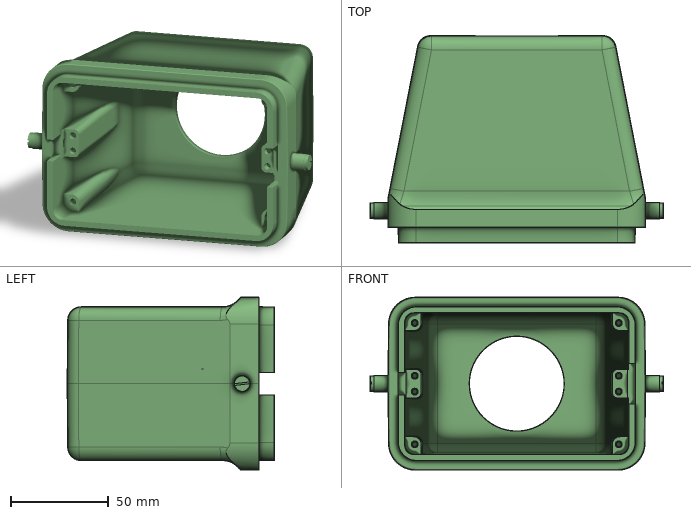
import cadquery as cq
import math

OVERALL_LENGTH = 150.0
HOOD_DEPTH = 106.0
FLANGE_HEIGHT = 88.5

SKIRT_LENGTH = 7.8
SKIRT_WIDTH = 121.5
SKIRT_HEIGHT = 78.9
SKIRT_CORNER_RADIUS = 9.3
SKIRT_DRAFT = 1.0

FLANGE_WIDTH = 131.0
FLANGE_PEAK_WIDTH = 131.9
FLANGE_CORNER_RADIUS = 14.0
FLANGE_BACK = 17.1
FLANGE_EDGE_RADIUS = 0.5

HOOD_HEIGHT = 78.8
HOOD_BACK_WIDTH = 99.3
SIDE_SLOPE = 0.195
HOOD_DRAFT = 0.5
HOOD_EDGE_RADIUS = 7.0
FLARE_RADIUS = 10.7

MOUTH_WIDTH = 114.8
MOUTH_HEIGHT = 72.6
CAVITY_BACK_HEIGHT = 71.0
CAVITY_BACK_WIDTH = 89.5
CAVITY_KINK_WIDTH = 114.0
CAVITY_KINK_Y = 33.8
CAVITY_KINK_RADIUS = 12.0
BACK_WALL = 4.0
CAVITY_EDGE_RADIUS = 5.0
CABLE_HOLE_DIAMETER = 48.5

POST_FRONT = 17.3
POST_DRAFT = 0.7
SCREW_X = 52.2
CORNER_SCREW_Z = 31.0
MIDDLE_SCREW_Z = 4.0
POST_INNER_X = 48.9
CORNER_POST_INNER_Z = 27.2
CORNER_POST_RADIUS = 3.8
MIDDLE_POST_HEIGHT = 14.5
MIDDLE_POST_RADIUS = 2.5
WALL_OVERLAP = CORNER_POST_RADIUS
SCREW_HOLE_BOTTOM_DIAMETER = 2.5
SCREW_HOLE_MOUTH_DIAMETER = 3.5
SCREW_HOLE_DEPTH = 15.0

LEFT_NOTCH_HEIGHT = 11.4
RIGHT_NOTCH_HEIGHT = 20.5
NOTCH_DEPTH = 13.5

PAD_INNER_X = 56.5
PAD_HOLE_DIAMETER = 5.0
PAD_HOLE_DEPTH = 3.0

PIN_Y = 16.5
PIN_DIAMETER = 8.4
PIN_TIP_DIAMETER = 8.0
PIN_TIP_LENGTH = 2.0
PIN_SLOT_WIDTH = 0.9
PIN_SLOT_DEPTH = 0.8
PIN_SLOT_ANGLE = -7.0

CAVITY_BACK = HOOD_DEPTH - BACK_WALL


def mirrored_pair(half):
    """A half standing on the mid-plane, joined to its reflection below it."""
    return half.union(half.mirror("XY"))


def box_between(x_range, y_range, z_range):
    lengths = [high - low for low, high in (x_range, y_range, z_range)]
    corner = (x_range[0], y_range[0], z_range[0])
    return cq.Workplane("XY").box(*lengths, centered=False).translate(corner)


def cross_section(y):
    """Workplane at the given Y with local x along X and local y along Z, facing -Y."""
    return cq.Workplane("XZ", origin=(0, y, 0))


def hood_side_outline():
    """Upper half of the side outline, swept along X: flat roof, concave flare, 45 degree shoulder."""
    roof = HOOD_HEIGHT / 2
    rise = FLANGE_HEIGHT / 2 - roof
    diagonal = math.sqrt(0.5)
    arc_rise = FLARE_RADIUS * (1 - diagonal)
    arc_run = FLARE_RADIUS * diagonal
    arc_front = FLANGE_BACK + rise - arc_rise
    arc_back = arc_front + arc_run
    half_angle = math.radians(45) / 2
    arc_middle = (
        arc_back - FLARE_RADIUS * math.sin(half_angle),
        roof + FLARE_RADIUS * (1 - math.cos(half_angle)),
    )
    overshoot = FLANGE_BACK - SKIRT_LENGTH
    return (
        cq.Workplane("YZ")
        .moveTo(SKIRT_LENGTH, 0)
        .lineTo(SKIRT_LENGTH, FLANGE_HEIGHT / 2 + overshoot)
        .lineTo(arc_front, roof + arc_rise)
        .threePointArc(arc_middle, (arc_back, roof))
        .lineTo(HOOD_DEPTH, roof)
        .lineTo(HOOD_DEPTH, 0)
        .close()
        .extrude(OVERALL_LENGTH / 2, both=True)
    )


def make_hood():
    """Solid hood and flange, without the skirt."""
    back = HOOD_BACK_WIDTH / 2
    front = back + SIDE_SLOPE * HOOD_DEPTH
    block = (
        cq.Workplane("XY")
        .polyline([(-front, 0), (front, 0), (back, HOOD_DEPTH), (-back, HOOD_DEPTH)])
        .close()
        .extrude(FLANGE_HEIGHT, taper=HOOD_DRAFT)
        .intersect(hood_side_outline())
    )
    hidden = block.faces("<Z or <Y").edges().vals()
    exposed = [edge for edge in block.edges().vals() if not any(edge.isSame(other) for other in hidden)]
    block = block.newObject(exposed).fillet(HOOD_EDGE_RADIUS)
    half_height = FLANGE_HEIGHT / 2
    flange_outline = (
        cross_section(HOOD_DEPTH)
        .polyline([
            (-FLANGE_PEAK_WIDTH / 2, 0),
            (FLANGE_PEAK_WIDTH / 2, 0),
            (FLANGE_WIDTH / 2, half_height),
            (-FLANGE_WIDTH / 2, half_height),
        ])
        .close()
        .extrude(HOOD_DEPTH - SKIRT_LENGTH)
        .edges("|Y and >Z")
        .fillet(FLANGE_CORNER_RADIUS)
    )
    half = block.intersect(flange_outline)
    return mirrored_pair(half).faces("<Y").edges().fillet(FLANGE_EDGE_RADIUS)


def make_skirt():
    """Solid plug, drafted towards the rim; its root overlaps the flange."""
    root_overlap = 3.0
    return (
        cross_section(SKIRT_LENGTH + root_overlap)
        .sketch()
        .rect(SKIRT_WIDTH, SKIRT_HEIGHT)
        .vertices()
        .fillet(SKIRT_CORNER_RADIUS)
        .finalize()
        .extrude(SKIRT_LENGTH + root_overlap, taper=SKIRT_DRAFT)
    )


def make_cavity():
    mouth = MOUTH_WIDTH / 2
    kink = CAVITY_KINK_WIDTH / 2
    back = CAVITY_BACK_WIDTH / 2
    plan = (
        cq.Workplane("XY")
        .polyline([
            (-mouth, 0),
            (mouth, 0),
            (kink, CAVITY_KINK_Y),
            (back, CAVITY_BACK),
            (-back, CAVITY_BACK),
            (-kink, CAVITY_KINK_Y),
        ])
        .close()
        .extrude(MOUTH_HEIGHT, both=True)
        .edges("|Z and (not <Y) and (not >Y)")
        .fillet(CAVITY_KINK_RADIUS)
    )
    side = (
        cq.Workplane("YZ")
        .polyline([
            (0, -MOUTH_HEIGHT / 2),
            (CAVITY_BACK, -CAVITY_BACK_HEIGHT / 2),
            (CAVITY_BACK, CAVITY_BACK_HEIGHT / 2),
            (0, MOUTH_HEIGHT / 2),
        ])
        .close()
        .extrude(MOUTH_WIDTH, both=True)
    )
    cavity = plan.intersect(side)
    return cavity.edges("(not (<Y or |Z)) or >Y").fillet(CAVITY_EDGE_RADIUS)


def make_post(x_range, z_range, radius):
    """One round-edged post, growing slightly towards the back wall."""
    length = HOOD_DEPTH - POST_FRONT
    center_x = sum(x_range) / 2
    center_z = sum(z_range) / 2
    return (
        cq.Workplane("XZ", origin=(0, POST_FRONT, 0))
        .center(center_x, center_z)
        .sketch()
        .rect(x_range[1] - x_range[0], z_range[1] - z_range[0])
        .vertices()
        .fillet(radius)
        .finalize()
        .extrude(-length, taper=-POST_DRAFT)
    )


def make_posts():
    """The three posts on the +X side: one in each corner and one in the middle."""
    x_range = (POST_INNER_X, MOUTH_WIDTH / 2 + WALL_OVERLAP)
    outer_z = MOUTH_HEIGHT / 2 + WALL_OVERLAP
    half_middle = MIDDLE_POST_HEIGHT / 2
    upper = make_post(x_range, (CORNER_POST_INNER_Z, outer_z), CORNER_POST_RADIUS)
    middle = make_post(x_range, (-half_middle, half_middle), MIDDLE_POST_RADIUS)
    return upper.union(upper.mirror("XY")).union(middle)


def make_pad():
    """Pad on the +X wall in front of the middle post."""
    half_middle = MIDDLE_POST_HEIGHT / 2
    return box_between(
        (PAD_INNER_X, MOUTH_WIDTH / 2 + WALL_OVERLAP),
        (NOTCH_DEPTH, POST_FRONT + WALL_OVERLAP),
        (-half_middle, half_middle),
    )


def make_screw_holes():
    """Tapered blind holes in the +X posts."""
    hole = cq.Workplane("XY").add(cq.Solid.makeCone(
        SCREW_HOLE_MOUTH_DIAMETER / 2,
        SCREW_HOLE_BOTTOM_DIAMETER / 2,
        SCREW_HOLE_DEPTH,
        dir=cq.Vector(0, 1, 0),
    ))
    holes = cq.Workplane("XY")
    for z in (-CORNER_SCREW_Z, -MIDDLE_SCREW_Z, MIDDLE_SCREW_Z, CORNER_SCREW_Z):
        holes = holes.union(hole.translate((SCREW_X, POST_FRONT, z)))
    return holes


def make_notch(height):
    """Notch from the cavity out to the face of the +X skirt wall, running on behind the flange front."""
    return box_between(
        (SCREW_X, SKIRT_WIDTH / 2),
        (0, NOTCH_DEPTH),
        (-height / 2, height / 2),
    )


def make_pin():
    """Locking pin on the +X side, with a stepped tip and a screwdriver slot."""
    tip_x = OVERALL_LENGTH / 2
    root_x = SKIRT_WIDTH / 2
    shank_end = tip_x - PIN_TIP_LENGTH
    base = cq.Workplane("YZ", origin=(root_x, PIN_Y, 0))
    shank = base.circle(PIN_DIAMETER / 2).extrude(shank_end - root_x)
    tip = base.circle(PIN_TIP_DIAMETER / 2).extrude(tip_x - root_x)
    slot = (
        cq.Workplane("YZ", origin=(tip_x - PIN_SLOT_DEPTH, PIN_Y, 0))
        .transformed(rotate=(0, 0, PIN_SLOT_ANGLE))
        .rect(PIN_DIAMETER * 2, PIN_SLOT_WIDTH)
        .extrude(PIN_SLOT_DEPTH)
    )
    return shank.union(tip).cut(slot)


def make_pin_hole():
    """Blind hole in the +X pad, on the pin axis."""
    return (
        cq.Workplane("YZ", origin=(PAD_INNER_X, PIN_Y, 0))
        .circle(PAD_HOLE_DIAMETER / 2)
        .extrude(PAD_HOLE_DEPTH)
    )


def both_sides(feature):
    """A +X feature together with its mirror image on the -X side."""
    return feature.union(feature.mirror("YZ"))


outer = make_hood().union(make_skirt())
inner_fittings = both_sides(make_posts().union(make_pad())).intersect(outer)
cable_hole = cross_section(HOOD_DEPTH).circle(CABLE_HOLE_DIAMETER / 2).extrude(2 * BACK_WALL)

result = (
    outer
    .cut(make_cavity())
    .union(inner_fittings)
    .union(both_sides(make_pin()))
    .cut(cable_hole)
    .cut(both_sides(make_screw_holes()))
    .cut(both_sides(make_pin_hole()))
    .cut(make_notch(RIGHT_NOTCH_HEIGHT))
    .cut(make_notch(LEFT_NOTCH_HEIGHT).mirror("YZ"))
)